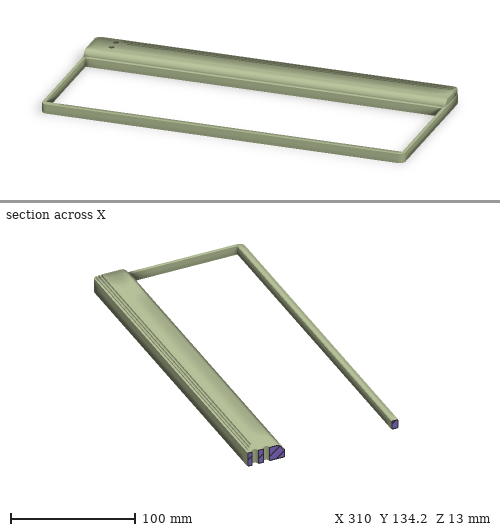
import cadquery as cq

length = 310.0
width = 134.2
height = 13.0

frame_height = 8.0
corner_radius = 5.0
left_arm = 2.5
right_arm = 2.8
front_bar = 6.0
rear_bar = 33.2
window_chamfer = 0.5

flat_width = 25.5
brow_radius = 6.0
end_setback = 1.0
rise = height - frame_height

hole_diameter = 5.0
hole_x = 19.0
hole_rear_offsets = (6.8, 17.0)

groove_count = 3
groove_mouth = 1.75
groove_floor = 1.4
groove_depth = 1.0
groove_pitch = 2.73
first_groove_offset = 2.0
first_groove_start = 21.7
groove_start_step = 3.5


def make_slab():
    """Full-height slab with rounded vertical corners."""
    slab = cq.Workplane("XY").box(length, width, height, centered=False)
    return slab.edges("|Z").fillet(corner_radius)


def front_relief():
    """Volume above the thin frame, ahead of the convex brow of the raised bar."""
    brow_top_y = width - flat_width
    brow_center_z = height - brow_radius
    brow_reach = (brow_radius**2 - (brow_radius - rise) ** 2) ** 0.5
    diagonal = brow_radius * 0.5**0.5
    return (
        cq.Workplane("YZ")
        .moveTo(0, frame_height)
        .lineTo(brow_top_y - brow_reach, frame_height)
        .threePointArc((brow_top_y - diagonal, brow_center_z + diagonal), (brow_top_y, height))
        .lineTo(0, height)
        .close()
        .extrude(length)
    )


def window():
    """Opening through the frame, with its front and rear top edges chamfered."""
    front_y = front_bar
    rear_y = width - rear_bar
    chamfer_z = frame_height - window_chamfer
    section = [
        (front_y, 0),
        (front_y, chamfer_z),
        (front_y - window_chamfer, frame_height),
        (rear_y + window_chamfer, frame_height),
        (rear_y, chamfer_z),
        (rear_y, 0),
    ]
    return (
        cq.Workplane("YZ", origin=(left_arm, 0, 0))
        .polyline(section)
        .close()
        .extrude(length - left_arm - right_arm)
    )


def end_step():
    """Step that sets the right end of the raised bar back from the frame."""
    step = cq.Workplane("XY").box(end_setback, width, rise, centered=False)
    return step.translate((length - end_setback, 0, frame_height))


def screw_holes():
    points = [(hole_x, width - offset) for offset in hole_rear_offsets]
    return cq.Workplane("XY").pushPoints(points).circle(hole_diameter / 2).extrude(height)


def groove(index):
    """One shallow groove; each starts further right and nearer the front than the one before."""
    start = first_groove_start + index * groove_start_step
    center_y = width - first_groove_offset - index * groove_pitch
    floor_z = height - groove_depth
    section = [
        (center_y - groove_mouth / 2, height),
        (center_y - groove_floor / 2, floor_z),
        (center_y + groove_floor / 2, floor_z),
        (center_y + groove_mouth / 2, height),
    ]
    return (
        cq.Workplane("YZ", origin=(start, 0, 0))
        .polyline(section)
        .close()
        .extrude(length - start)
    )


result = make_slab().cut(front_relief()).cut(window()).cut(end_step()).cut(screw_holes())
for groove_index in range(groove_count):
    result = result.cut(groove(groove_index))